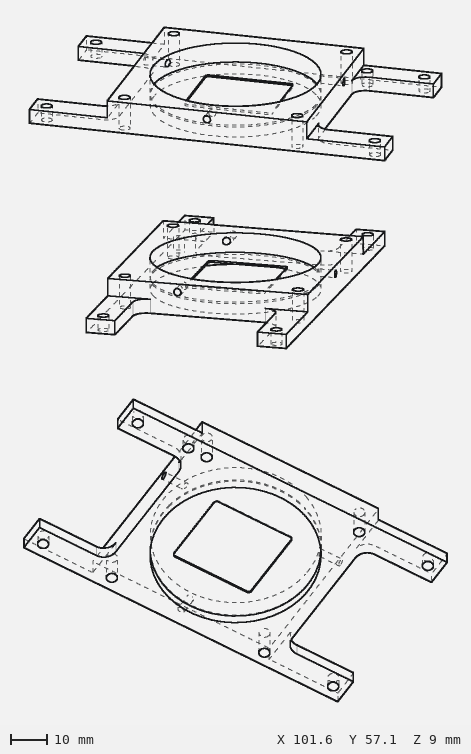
import cadquery as cq

length = 101.6
width = 57.1
height = 9.0

body_side = width
arm_height = 4.1
arm_width = 8.2
arm_fillet = 3.9

bore_diameter = 47.0
bore_depth = 5.6
web_thickness = 0.5
window_length = 25.0
window_width = 22.6
window_offset_x = 0.9
window_corner_radius = 0.9

screw_diameter = 3.0
screw_edge_distance = 3.9
extra_screw_x = 30.6

side_hole_diameter = 2.0
side_hole_z = height - 2.3
long_hole_y = 8.6

web_top = height - bore_depth
web_bottom = web_top - web_thickness
screw_y = width / 2 - screw_edge_distance


def make_frame():
    """Arms joined to the body by filleted gaps, under the raised square body."""
    base = cq.Workplane("XY").box(length, width, arm_height, centered=(True, True, False))
    gap_length = (length - body_side) / 2
    gap_width = width - 2 * arm_width
    for side in (-1, 1):
        gap = (
            cq.Workplane("XY")
            .center(side * length / 2, 0)
            .rect(2 * gap_length, gap_width)
            .extrude(arm_height)
            .edges("|Z")
            .fillet(arm_fillet)
        )
        base = base.cut(gap)
    body = cq.Workplane("XY").box(body_side, body_side, height, centered=(True, True, False))
    return base.union(body)


def make_bore(bottom, top):
    return cq.Workplane("XY").workplane(offset=bottom).circle(bore_diameter / 2).extrude(top - bottom)


def make_window():
    return (
        cq.Workplane("XY")
        .center(window_offset_x, 0)
        .rect(window_length, window_width)
        .extrude(height)
        .edges("|Z")
        .fillet(window_corner_radius)
    )


def make_screw_holes():
    arm_x = length / 2 - screw_edge_distance
    body_x = body_side / 2 - screw_edge_distance
    points = [(x, y) for x in (-arm_x, -body_x, body_x, arm_x) for y in (-screw_y, screw_y)]
    points.append((extra_screw_x, screw_y))
    return cq.Workplane("XY").pushPoints(points).circle(screw_diameter / 2).extrude(height)


def make_side_holes():
    long_hole = (
        cq.Workplane("YZ", origin=(-body_side / 2, long_hole_y, side_hole_z))
        .circle(side_hole_diameter / 2)
        .extrude(body_side)
    )
    short_hole = (
        cq.Workplane("XZ", origin=(0, 0, side_hole_z))
        .circle(side_hole_diameter / 2)
        .extrude(width / 2)
    )
    return long_hole.union(short_hole)


result = (
    make_frame()
    .cut(make_bore(web_top, height))
    .cut(make_bore(0, web_bottom))
    .cut(make_window())
    .cut(make_screw_holes())
    .cut(make_side_holes())
)